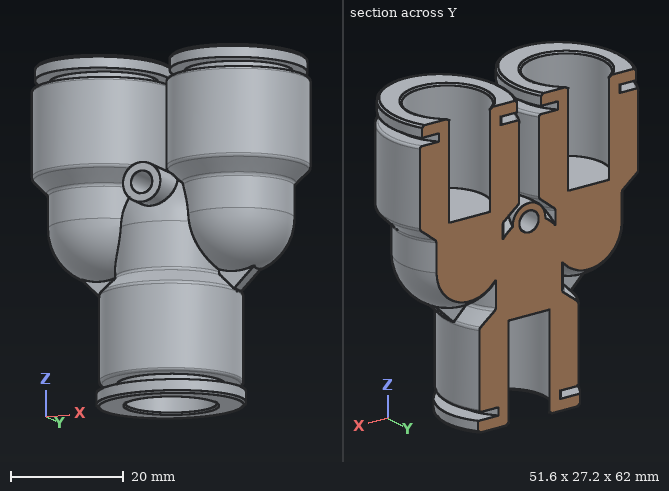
import cadquery as cq
import math

total_height = 62.0
port_offset = 12.95

sleeve_radius = 12.85
neck_radius = 10.0
groove_radius = 9.6
stem_overlap = 0.6
collar_thickness = 2.4
sleeve_start = 3.9
sleeve_end = 20.0
shoulder_angle = math.radians(45)
shoulder_end = sleeve_end + (sleeve_radius - neck_radius) / math.tan(shoulder_angle)
upper_neck_end = 29.0
lower_neck_end = 31.55
sleeve_rim_fillet = 0.5
shoulder_fillet = 0.85

collar_short_radius = 12.0
collar_long_radius = 13.5
collar_chamfer = 0.45

bore_radius = 8.1
bore_depth = sleeve_end
bore_chamfer = 0.4

cross_tube_radius = 3.6
cross_tube_length = 27.2
cross_hole_radius = 2.05
cross_tube_height = 38.05

web_thickness = 3.3
web_rise = 4.35


def make_body(neck_end):
    """Revolved sleeve, shoulder and neck with a spherical end."""
    rim_arc_inset = sleeve_rim_fillet * (1 - math.sqrt(0.5))
    tangent = shoulder_fillet * math.tan(shoulder_angle / 2)
    slope_step = tangent * math.sqrt(0.5)
    sphere_step = neck_radius * math.sqrt(0.5)
    return (
        cq.Workplane("XZ")
        .moveTo(0, -sleeve_start)
        .lineTo(sleeve_radius - sleeve_rim_fillet, -sleeve_start)
        .threePointArc(
            (sleeve_radius - rim_arc_inset, -sleeve_start - rim_arc_inset),
            (sleeve_radius, -sleeve_start - sleeve_rim_fillet),
        )
        .lineTo(sleeve_radius, -sleeve_end + tangent)
        .tangentArcPoint((sleeve_radius - slope_step, -sleeve_end - slope_step), relative=False)
        .lineTo(neck_radius + slope_step, -shoulder_end + slope_step)
        .tangentArcPoint((neck_radius, -shoulder_end - tangent), relative=False)
        .lineTo(neck_radius, -neck_end)
        .threePointArc((sphere_step, -neck_end - sphere_step), (0, -neck_end - neck_radius))
        .close()
        .revolve(360, (0, 0, 0), (0, 1, 0))
    )


def make_collar():
    """Oval release collar on the narrower round stem that leaves the groove."""
    collar = (
        cq.Workplane("XY")
        .ellipse(collar_short_radius, collar_long_radius)
        .extrude(-collar_thickness)
        .faces(">Z")
        .chamfer(collar_chamfer)
    )
    stem = cq.Workplane("XY").circle(groove_radius).extrude(-sleeve_start - stem_overlap)
    return collar.union(stem)


def make_port(neck_end):
    """Solid port opening toward +Z at the origin, long collar axis along Y."""
    return make_body(neck_end).union(make_collar())


def make_bore():
    """Blind tube socket with a chamfered mouth, opening at the origin."""
    bore = cq.Workplane("XY").circle(bore_radius).extrude(-bore_depth)
    mouth = cq.Workplane("XY").add(
        cq.Solid.makeCone(
            bore_radius + bore_chamfer, bore_radius, bore_chamfer, dir=cq.Vector(0, 0, -1)
        )
    )
    return bore.union(mouth)


def place_upper(shape, side):
    """Move a port shape to the top, on the -X (-1) or +X (+1) side."""
    return shape.translate((side * port_offset, 0, total_height))


def place_lower(shape):
    """Turn a port shape to open downward, long collar axis along X."""
    return shape.rotate((0, 0, 0), (1, 0, 0), 180).rotate((0, 0, 0), (0, 0, 1), 90)


def make_web():
    """Flat web on both sides, its lower edges rising outward at 45 degrees."""
    top_z = sleeve_end + web_rise
    top_x = sleeve_radius + web_rise
    return (
        cq.Workplane("XZ")
        .polyline([
            (-sleeve_radius, sleeve_end),
            (sleeve_radius, sleeve_end),
            (top_x, top_z),
            (-top_x, top_z),
        ])
        .close()
        .extrude(web_thickness / 2, both=True)
    )


def make_cross_rod(radius):
    """Round bar along Y at the height of the mounting hole."""
    return (
        cq.Workplane("XZ")
        .center(0, cross_tube_height)
        .circle(radius)
        .extrude(cross_tube_length / 2, both=True)
    )


result = make_cross_rod(cross_tube_radius).union(place_lower(make_port(lower_neck_end)))
for side in (-1, 1):
    result = result.union(place_upper(make_port(upper_neck_end), side))
result = result.union(make_web())

result = result.cut(place_lower(make_bore()))
for side in (-1, 1):
    result = result.cut(place_upper(make_bore(), side))
result = result.cut(make_cross_rod(cross_hole_radius))